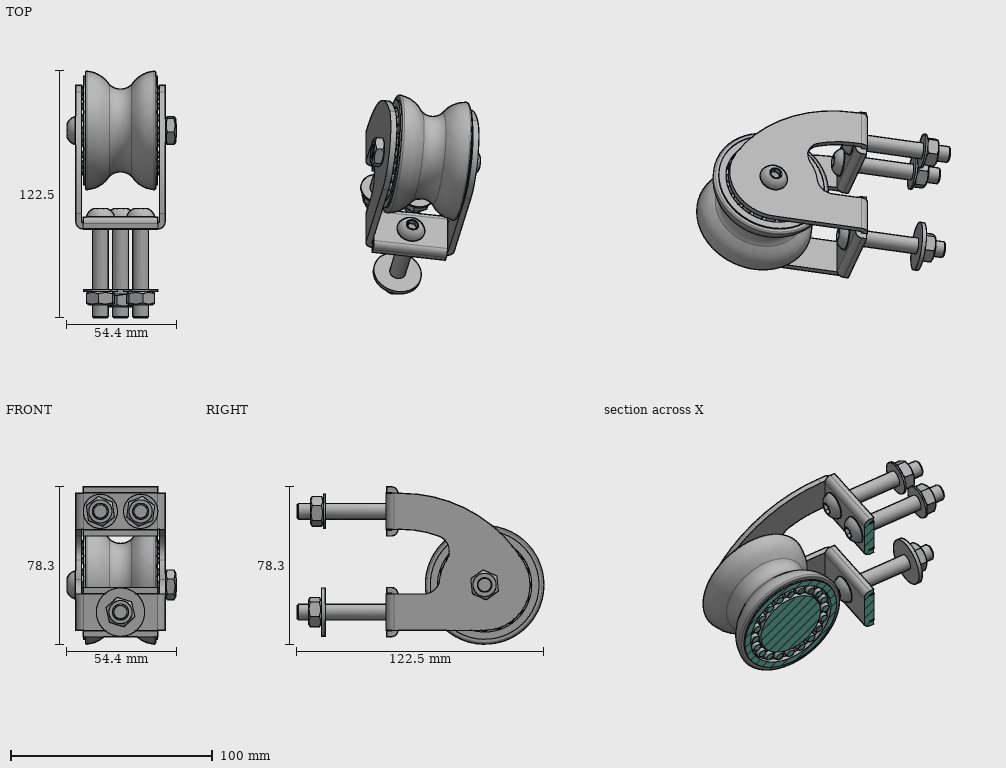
import cadquery as cq
import math


SHEET = 3.0
BRACKET_WIDTH = 44.5
BEND_RADIUS = 4.0
ARM_HEIGHT = 18.0
CHEEK_RADIUS = 22.5
SWEEP_RADIUS = 71.0
THROAT_RADIUS = 8.0
WEB_FACE_Y = -49.0
BOLT_PITCH_Z = 50.0
HALF_WIDTH = BRACKET_WIDTH / 2
CHEEK_INNER_X = HALF_WIDTH - SHEET
LOWER_Z = -CHEEK_RADIUS + ARM_HEIGHT / 2
UPPER_Z = LOWER_Z + BOLT_PITCH_Z

RIM_RADIUS = 29.5
GROOVE_RADIUS = 20.65
GROOVE_EDGE = (5.5, 22.8)
FLANK_MIDDLE = (10.5, 27.55)
RIM_OUTER_X = 17.5
RIM_ROUND = 0.9
RIM_INNER_X = RIM_OUTER_X - RIM_ROUND
FACE_X = 18.25
FACE_RADIUS = 54.0 / 2
RACE_OUTER_DIAMETER = 46.8
RACE_INNER_DIAMETER = 35.2
RACE_FLOOR_X = 16.0
BALL_COUNT = 20
BALL_DIAMETER = 5.0
HUB_DIAMETER = 11.0

BOLT_DIAMETER = 8.0
BOLT_CHAMFER = 0.7
HEAD_DIAMETER = 14.0
HEAD_HEIGHT = 4.4
HEAD_RIM = 0.4
HEAD_TOP_DIAMETER = 6.2
HEAD_DOME_RADIUS = 6.0
HEX_SIDES = 6
HEX_CORNER_RATIO = 1 / math.cos(math.pi / HEX_SIDES)
SOCKET_FLATS = 5.0
SOCKET_DEPTH = 2.6
SOCKET_TIP_DEPTH = 1.2
NUT_FLATS = 13.0
NUT_HEIGHT = 6.5
NUT_FACE_DIAMETER = 11.5
NUT_CHAMFER_ANGLE = 30.0
AXLE_NUT_HEIGHT = 5.2
AXLE_END_X = 27.75
CLAMP_BOLT_LENGTH = 50.0
CLAMP_BOLT_X = 10.0
GRIP = 30.0
SMALL_WASHER = (17.0, 1.0)
LARGE_WASHER = (24.0, 2.0)
UPPER_NUT_TURN = 38.0
LOWER_NUT_TURN = 17.0
AXLE_NUT_TURN = 54.0

CHANNEL_LENGTH = 37.0
CHANNEL_HEIGHT = 24.5
CHANNEL_WALL = 3.0
CHANNEL_GAP = 0.3
CHANNEL_DEPTH = 5.65
CHANNEL_CORNER = 3.25
CHANNEL_BACK_Y = WEB_FACE_Y + SHEET + CHANNEL_WALL


def on_circle(center, toward, radius):
    """Point on a circle in the direction of another point."""
    length = math.dist(center, toward)
    return tuple(c + (t - c) * radius / length for c, t in zip(center, toward))


def arc_middle(center, start, end, radius):
    """Middle of the shorter arc from start to end."""
    chord_middle = tuple((a + b) / 2 for a, b in zip(start, end))
    return on_circle(center, chord_middle, radius)


def cheek_profile():
    """Side outline in (y, z), tangent everywhere along its curved edges."""
    top_z = UPPER_Z + ARM_HEIGHT / 2
    upper_arm_bottom = top_z - ARM_HEIGHT
    lower_arm_top = LOWER_Z + ARM_HEIGHT / 2
    axle = (0.0, 0.0)
    lowest = (0.0, -CHEEK_RADIUS)

    sweep_z = top_z - SWEEP_RADIUS
    sweep_gap = SWEEP_RADIUS - CHEEK_RADIUS
    sweep = (-math.sqrt(sweep_gap**2 - sweep_z**2), sweep_z)
    sweep_top = (sweep[0], top_z)
    sweep_end = tuple(-c * CHEEK_RADIUS / sweep_gap for c in sweep)

    corner_gap = CHEEK_RADIUS + THROAT_RADIUS
    low_z = lower_arm_top + THROAT_RADIUS
    low = (-math.sqrt(corner_gap**2 - low_z**2), low_z)
    low_start = (low[0], lower_arm_top)
    low_end = on_circle(axle, low, CHEEK_RADIUS)

    under_radius = SWEEP_RADIUS - ARM_HEIGHT
    to_sweep = under_radius - THROAT_RADIUS
    along = (corner_gap**2 - to_sweep**2 + sweep_gap**2) / (2 * sweep_gap)
    across = math.sqrt(corner_gap**2 - along**2)
    unit = (sweep[0] / sweep_gap, sweep[1] / sweep_gap)
    high = (along * unit[0] + across * unit[1], along * unit[1] - across * unit[0])
    high_start = on_circle(axle, high, CHEEK_RADIUS)
    high_end = on_circle(high, sweep, -THROAT_RADIUS)
    under_top = (sweep[0], upper_arm_bottom)

    return (
        cq.Workplane("YZ")
        .moveTo(WEB_FACE_Y, top_z)
        .lineTo(*sweep_top)
        .threePointArc(arc_middle(sweep, sweep_top, sweep_end, SWEEP_RADIUS), sweep_end)
        .threePointArc(arc_middle(axle, sweep_end, lowest, CHEEK_RADIUS), lowest)
        .lineTo(WEB_FACE_Y, -CHEEK_RADIUS)
        .lineTo(WEB_FACE_Y, lower_arm_top)
        .lineTo(*low_start)
        .threePointArc(arc_middle(low, low_start, low_end, THROAT_RADIUS), low_end)
        .threePointArc(arc_middle(axle, low_end, high_start, CHEEK_RADIUS), high_start)
        .threePointArc(arc_middle(high, high_start, high_end, THROAT_RADIUS), high_end)
        .threePointArc(arc_middle(sweep, high_end, under_top, under_radius), under_top)
        .lineTo(WEB_FACE_Y, upper_arm_bottom)
        .close()
    )


def make_bracket():
    """Side outline cut from a bent U of sheet."""
    depth = CHEEK_RADIUS - WEB_FACE_Y
    height = 2 * (UPPER_Z + ARM_HEIGHT)
    outside = (
        cq.Workplane("XY")
        .box(BRACKET_WIDTH, depth, height, centered=(True, False, True))
        .edges("|Z and <Y").fillet(BEND_RADIUS)
        .translate((0, WEB_FACE_Y, 0))
    )
    inside = (
        cq.Workplane("XY")
        .box(2 * CHEEK_INNER_X, depth, height, centered=(True, False, True))
        .edges("|Z and <Y").fillet(BEND_RADIUS - SHEET)
        .translate((0, WEB_FACE_Y + SHEET, 0))
    )
    silhouette = cheek_profile().extrude(HALF_WIDTH, both=True)
    return silhouette.intersect(outside.cut(inside))


def make_channel(center_z):
    """Channel against the inside of a web, its flanges wrapping the arm edges."""
    body = (
        cq.Workplane("XY")
        .box(CHANNEL_LENGTH, CHANNEL_DEPTH, CHANNEL_HEIGHT)
        .edges("|X and >Y").fillet(CHANNEL_CORNER)
    )
    opening = (
        cq.Workplane("XY")
        .box(CHANNEL_LENGTH, CHANNEL_DEPTH, ARM_HEIGHT + 2 * CHANNEL_GAP)
        .edges("|X and >Y").fillet(CHANNEL_GAP)
        .translate((0, -CHANNEL_WALL, 0))
    )
    return body.cut(opening).translate((0, CHANNEL_BACK_Y - CHANNEL_DEPTH / 2, center_z))


def make_wheel():
    """Wheel turned about X, with a ball race and a spacer hub on each side."""
    edge_x, edge_radius = GROOVE_EDGE
    middle_x, middle_radius = FLANK_MIDDLE
    wheel = (
        cq.Workplane("XY")
        .moveTo(-FACE_X, 0)
        .lineTo(-FACE_X, FACE_RADIUS)
        .lineTo(-RIM_OUTER_X, FACE_RADIUS)
        .lineTo(-RIM_OUTER_X, RIM_RADIUS - RIM_ROUND)
        .radiusArc((-RIM_INNER_X, RIM_RADIUS), RIM_ROUND)
        .threePointArc((-middle_x, middle_radius), (-edge_x, edge_radius))
        .threePointArc((0, GROOVE_RADIUS), (edge_x, edge_radius))
        .threePointArc((middle_x, middle_radius), (RIM_INNER_X, RIM_RADIUS))
        .radiusArc((RIM_OUTER_X, RIM_RADIUS - RIM_ROUND), RIM_ROUND)
        .lineTo(RIM_OUTER_X, FACE_RADIUS)
        .lineTo(FACE_X, FACE_RADIUS)
        .lineTo(FACE_X, 0)
        .close()
        .revolve(360, (0, 0, 0), (1, 0, 0))
    )
    race = (
        cq.Workplane("YZ", origin=(RACE_FLOOR_X, 0, 0))
        .circle(RACE_OUTER_DIAMETER / 2)
        .circle(RACE_INNER_DIAMETER / 2)
        .extrude(FACE_X - RACE_FLOOR_X)
    )
    hub = cq.Workplane("YZ").circle(HUB_DIAMETER / 2).extrude(CHEEK_INNER_X, both=True)
    wheel = wheel.cut(race).cut(race.mirror("YZ")).union(hub)

    ball_circle = (RACE_OUTER_DIAMETER + RACE_INNER_DIAMETER) / 4
    ball_x = CHEEK_INNER_X - BALL_DIAMETER / 2
    for index in range(BALL_COUNT):
        angle = 2 * math.pi * index / BALL_COUNT
        for x in (-ball_x, ball_x):
            place = (x, ball_circle * math.cos(angle), ball_circle * math.sin(angle))
            wheel = wheel.union(cq.Workplane("XY").sphere(BALL_DIAMETER / 2).translate(place))
    return wheel


def make_bolt(length):
    """Button-head socket bolt along Z: head above zero, shank below."""
    head_radius = HEAD_DIAMETER / 2
    shank_radius = BOLT_DIAMETER / 2
    bolt = (
        cq.Workplane("XZ")
        .moveTo(0, HEAD_HEIGHT)
        .lineTo(HEAD_TOP_DIAMETER / 2, HEAD_HEIGHT)
        .radiusArc((head_radius, HEAD_RIM), HEAD_DOME_RADIUS)
        .lineTo(head_radius, 0)
        .lineTo(shank_radius, 0)
        .lineTo(shank_radius, BOLT_CHAMFER - length)
        .lineTo(shank_radius - BOLT_CHAMFER, -length)
        .lineTo(0, -length)
        .close()
        .revolve(360, (0, 0, 0), (0, 1, 0))
    )
    socket_floor = HEAD_HEIGHT - SOCKET_DEPTH
    socket = (
        cq.Workplane("XY", origin=(0, 0, socket_floor))
        .polygon(HEX_SIDES, SOCKET_FLATS * HEX_CORNER_RATIO)
        .extrude(SOCKET_DEPTH)
    )
    tip = cq.Solid.makeCone(0, SOCKET_FLATS / 2, SOCKET_TIP_DEPTH,
                            pnt=cq.Vector(0, 0, socket_floor - SOCKET_TIP_DEPTH))
    return bolt.cut(socket).cut(cq.Workplane(tip))


def make_nut(height, turn):
    """Hexagon nut along -Z from zero, corners chamfered on both faces."""
    corner_radius = NUT_FLATS / 2 * HEX_CORNER_RATIO
    face_radius = NUT_FACE_DIAMETER / 2
    chamfer = (corner_radius - face_radius) * math.tan(math.radians(NUT_CHAMFER_ANGLE))
    hexagon = (
        cq.Workplane("XY")
        .polygon(HEX_SIDES, 2 * corner_radius)
        .extrude(-height)
        .rotate((0, 0, 0), (0, 0, 1), turn)
    )
    turned = (
        cq.Workplane("XZ")
        .moveTo(0, 0)
        .lineTo(face_radius, 0)
        .lineTo(corner_radius, -chamfer)
        .lineTo(corner_radius, chamfer - height)
        .lineTo(face_radius, -height)
        .lineTo(0, -height)
        .close()
        .revolve(360, (0, 0, 0), (0, 1, 0))
    )
    return hexagon.intersect(turned)


def make_clamp_bolt(x, z, washer, nut_turn):
    """Bolt through a web toward -Y, with its washer and nut."""
    washer_diameter, washer_thickness = washer
    washer_offset = WEB_FACE_Y - GRIP - CHANNEL_BACK_Y
    disc = (
        cq.Workplane("XY", origin=(0, 0, washer_offset))
        .circle(washer_diameter / 2)
        .extrude(-washer_thickness)
    )
    nut = make_nut(NUT_HEIGHT, nut_turn).translate((0, 0, washer_offset - washer_thickness))
    stack = make_bolt(CLAMP_BOLT_LENGTH).union(disc).union(nut)
    return stack.rotate((0, 0, 0), (1, 0, 0), -90).translate((x, CHANNEL_BACK_Y, z))


def make_axle():
    """Axle bolt along +X with its head on the -X cheek and a nut on the other."""
    nut = make_nut(AXLE_NUT_HEIGHT, AXLE_NUT_TURN).translate((0, 0, -BRACKET_WIDTH))
    axle = make_bolt(HALF_WIDTH + AXLE_END_X).union(nut)
    return axle.rotate((0, 0, 0), (0, 1, 0), -90).translate((-HALF_WIDTH, 0, 0))


result = make_bracket().union(make_wheel()).union(make_axle())
for arm_z in (LOWER_Z, UPPER_Z):
    result = result.union(make_channel(arm_z))
result = result.union(make_clamp_bolt(0, LOWER_Z, LARGE_WASHER, LOWER_NUT_TURN))
for side in (-1, 1):
    result = result.union(
        make_clamp_bolt(side * CLAMP_BOLT_X, UPPER_Z, SMALL_WASHER, side * UPPER_NUT_TURN))